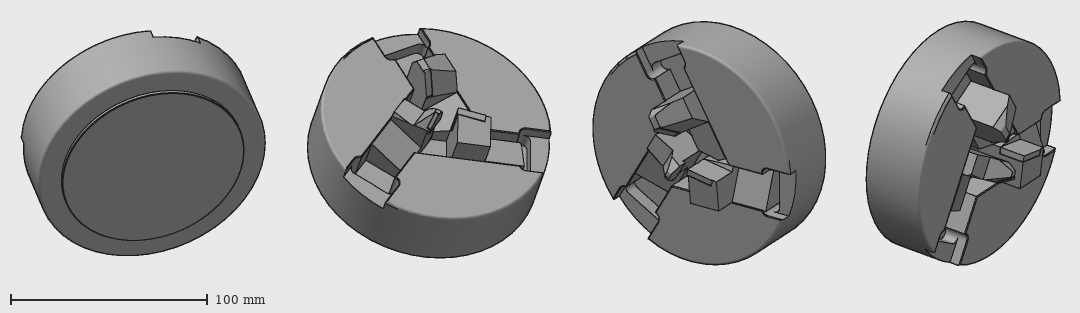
import cadquery as cq
import math


SEAT_STEP = 120
FIRST_SEAT, SECOND_SEAT, THIRD_SEAT = range(3)

BODY_RADIUS = 60
BODY_LENGTH = 34.9
RIM_FILLET = 1.5
FLANGE_RADIUS = 48
FLANGE_LENGTH = 2.0
FLANGE_CHAMFER = 0.4

SEAT_WIDTH = 20.0
SEAT_DEPTH = 14.0
RELIEF_INNER_R = 43.3
RELIEF_OUTER_R = 50.2
RELIEF_TOP_T = 4.0
RELIEF_BOTTOM_T = -22.3
STEP_DEPTH = 6
EDGE_CHAMFER = 0.5

GULLET_SLOPE = math.tan(math.radians(20))
CLEARANCE = math.radians(7)
FLANK_ANGLE = math.radians(60)
FLANK_SLOPE = math.tan(FLANK_ANGLE)
INSERT_LIP = 1.2
INSERT_FILLET = 0.5
INSERT_STANDOFF = 0.6
CUTTER_SIZE = 72

OUTER_START_R = 8.0
OUTER_BLOCK_END_R = 25.2
OUTER_END_R = 45.6
OUTER_NOSE_X = -15.0
RAKE_ANGLE = math.radians(10)
OUTER_INSERT_X = -15.2
OUTER_INSERT_WIDTH = 14.8
OUTER_INSERT_THICKNESS = 3.6
GASH_HEIGHT = 12
GASH_TOP_X = -24

MIDDLE_START_R = -7.7
MIDDLE_BLOCK_START_R = 13.2
MIDDLE_END_R = 30.7
MIDDLE_NOSE_X = -17.4
MIDDLE_NOSE_WIDTH = 4.1
MIDDLE_BACK_SLOPE = math.tan(math.radians(24))
MIDDLE_INSERT_X = -18
MIDDLE_INSERT_R = 20.2
MIDDLE_INSERT_END_R = 12.6
MIDDLE_SHOULDER_X = -13.0
MIDDLE_NOSE_FILLET = 1.5

INNER_START_R = 1.2
INNER_BLOCK_END_R = 13.1
INNER_END_R = 32.9
INNER_SHOULDER_X = -5.2
INNER_SHOULDER_T = -7.8
INNER_NOSE_X = -16.5
INNER_CORNER_R = 4.3
INNER_INSERT_X = -17.2
INNER_INSERT_R = 8.4
INNER_INSERT_THICKNESS = 2.2
INNER_NOSE_FILLET = 1.2
OVERHANG_T = 1.5
OVERHANG_X = -6


def at_seat(shape, index):
    """Turn a shape made for the first seat to the seat with this index."""
    return shape.rotate((0, 0, 0), (-1, 0, 0), index * SEAT_STEP)


def seat_block(start_r, end_r, bottom_t, top_t, depth):
    """Box in the first seat from the front face down to a depth."""
    size_r = end_r - start_r
    return cq.Workplane("XY").box(depth, size_r, top_t - bottom_t, centered=False).translate(
        (0, -end_r, bottom_t)
    )


def prism(points, start_r, end_r):
    """Extrude an outline of (x, t) points along r."""
    return cq.Workplane("XZ", origin=(0, -start_r, 0)).polyline(points).close().extrude(end_r - start_r)


def trim(solid, point, normal):
    """Remove what lies beyond a plane; point and normal are (x, r, t)."""
    x, r, t = point
    normal_x, normal_r, normal_t = normal
    plane = cq.Plane(origin=(x, -r, t), normal=(normal_x, -normal_r, normal_t))
    return solid.cut(cq.Workplane(plane).rect(CUTTER_SIZE, CUTTER_SIZE).extrude(CUTTER_SIZE))


def flank_normal(direction, clearance):
    """Outward normal of a side flank; direction is 1 outwards or -1 inwards along r."""
    return (
        -math.cos(clearance) * math.cos(FLANK_ANGLE),
        direction * math.cos(clearance) * math.sin(FLANK_ANGLE),
        -math.sin(clearance),
    )


def gullet_bar(start_r, end_r):
    """Cartridge shank with the sloping chip gullet on its front."""
    outline = [
        (SEAT_DEPTH, -SEAT_WIDTH),
        (0, -SEAT_WIDTH),
        (SEAT_WIDTH * GULLET_SLOPE, 0),
        (SEAT_DEPTH, 0),
    ]
    return prism(outline, start_r, end_r)


def chamfer_cutter(length_r, length_t, center_r, center_t, rounded):
    """Tapered cutter that breaks the front edge of a pocket at 45 degrees."""
    size_r = length_r + 2 * EDGE_CHAMFER
    size_t = length_t + 2 * EDGE_CHAMFER
    sketch = cq.Workplane("YZ", origin=(0, -center_r, center_t))
    sketch = sketch.slot2D(size_t, size_r, 90) if rounded else sketch.rect(size_r, size_t)
    return sketch.extrude(EDGE_CHAMFER, taper=45)


def make_seat():
    """Everything removed from the body for one seat, with its front edges broken."""
    inner_r = -SEAT_WIDTH / math.tan(math.radians(180 - SEAT_STEP))
    relief_width = RELIEF_OUTER_R - RELIEF_INNER_R
    relief_length = RELIEF_TOP_T - RELIEF_BOTTOM_T
    relief_r = (RELIEF_INNER_R + RELIEF_OUTER_R) / 2
    relief_t = (RELIEF_TOP_T + RELIEF_BOTTOM_T) / 2
    step_end_r = BODY_RADIUS + RIM_FILLET
    channel = seat_block(inner_r, relief_r, -SEAT_WIDTH, 0, SEAT_DEPTH)
    step = seat_block(relief_r, step_end_r, RELIEF_BOTTOM_T, RELIEF_TOP_T, STEP_DEPTH)
    relief = (
        cq.Workplane("YZ", origin=(0, -relief_r, relief_t))
        .slot2D(relief_length, relief_width, 90)
        .extrude(SEAT_DEPTH)
    )
    channel_chamfer = chamfer_cutter(
        relief_r - inner_r, SEAT_WIDTH, (inner_r + relief_r) / 2, -SEAT_WIDTH / 2, False
    )
    step_chamfer = chamfer_cutter(
        step_end_r - relief_r, relief_length, (relief_r + step_end_r) / 2, relief_t, False
    )
    relief_chamfer = chamfer_cutter(relief_width, relief_length, relief_r, relief_t, True)
    return [channel, step, relief, channel_chamfer, step_chamfer, relief_chamfer]


def make_body():
    disc = cq.Workplane("YZ").circle(BODY_RADIUS).extrude(BODY_LENGTH).edges().fillet(RIM_FILLET)
    flange = (
        cq.Workplane("YZ", origin=(BODY_LENGTH, 0, 0))
        .circle(FLANGE_RADIUS)
        .extrude(FLANGE_LENGTH)
        .faces(">X")
        .edges()
        .chamfer(FLANGE_CHAMFER)
    )
    body = disc.union(flange)
    for index in (FIRST_SEAT, SECOND_SEAT, THIRD_SEAT):
        for cutter in make_seat():
            body = body.cut(at_seat(cutter, index))
    return body


def rake_prism(points, length):
    """Extrude (x, height above the rake face) points along the outer cartridge's cutting edge."""
    plane = cq.Plane(
        origin=(0, -OUTER_START_R, 0),
        xDir=(1, 0, 0),
        normal=(0, -math.cos(RAKE_ANGLE), -math.sin(RAKE_ANGLE)),
    )
    return cq.Workplane(plane).polyline(points).close().extrude(length)


def flank_insert(direction, tip, end_r, bottom_t, top_t):
    """Cutting insert lying on a side flank, from its tip (x, r) along the flank to end_r."""
    tip_x, tip_r = tip
    end_x = tip_x + abs(end_r - tip_r) * FLANK_SLOPE
    lip = -direction * INSERT_LIP
    points = [(tip_x, tip_r), (end_x, end_r), (end_x, end_r + lip), (tip_x, tip_r + lip)]
    insert = (
        cq.Workplane("XY", origin=(0, 0, bottom_t))
        .polyline([(x, -r) for x, r in points])
        .close()
        .extrude(top_t - bottom_t)
    )
    insert = trim(insert, (tip_x, tip_r, top_t), flank_normal(direction, CLEARANCE))
    tip_edge = "<Y" if direction > 0 else ">Y"
    return insert.faces("<X").edges(tip_edge).fillet(INSERT_FILLET)


def make_outer_cartridge():
    front_slope = math.tan(CLEARANCE)
    block_outline = [
        (SEAT_DEPTH, -SEAT_WIDTH),
        (OUTER_NOSE_X + SEAT_WIDTH * front_slope, -SEAT_WIDTH),
        (OUTER_NOSE_X, 0),
        (SEAT_DEPTH, 0),
    ]
    gash_outline = [
        (0, 0),
        (GASH_TOP_X, 0),
        (GASH_TOP_X, GASH_HEIGHT),
        (GASH_HEIGHT * GULLET_SLOPE, GASH_HEIGHT),
    ]
    insert_outline = [
        (0, 0),
        (OUTER_INSERT_X, 0),
        (OUTER_INSERT_X + OUTER_INSERT_THICKNESS * front_slope, -OUTER_INSERT_THICKNESS),
        (0, -OUTER_INSERT_THICKNESS),
    ]
    cartridge = gullet_bar(OUTER_START_R, OUTER_END_R)
    cartridge = cartridge.union(prism(block_outline, OUTER_START_R, OUTER_BLOCK_END_R))
    cartridge = cartridge.cut(rake_prism(gash_outline, OUTER_END_R))
    insert = rake_prism(insert_outline, OUTER_INSERT_WIDTH).faces("<Y").edges("<X").fillet(INSERT_FILLET)
    return cartridge.union(insert)


def make_middle_cartridge():
    back_fall = (SEAT_WIDTH - MIDDLE_NOSE_WIDTH) * MIDDLE_BACK_SLOPE
    block_outline = [
        (SEAT_DEPTH, -SEAT_WIDTH),
        (MIDDLE_NOSE_X + back_fall, -SEAT_WIDTH),
        (MIDDLE_NOSE_X, -MIDDLE_NOSE_WIDTH),
        (MIDDLE_NOSE_X, 0),
        (SEAT_DEPTH, 0),
    ]
    block = prism(block_outline, MIDDLE_BLOCK_START_R, MIDDLE_END_R)
    block = trim(block, (MIDDLE_SHOULDER_X, MIDDLE_END_R, 0), flank_normal(1, 0))
    flank_point = (MIDDLE_INSERT_X, MIDDLE_INSERT_R + INSERT_STANDOFF, 0)
    block = trim(block, flank_point, flank_normal(-1, CLEARANCE))
    block = block.faces("<X").edges("not |Y").fillet(MIDDLE_NOSE_FILLET)
    insert_tip = (MIDDLE_INSERT_X, MIDDLE_INSERT_R)
    block = block.union(flank_insert(-1, insert_tip, MIDDLE_INSERT_END_R, -MIDDLE_NOSE_WIDTH, 0))
    cartridge = block.union(gullet_bar(MIDDLE_START_R, MIDDLE_BLOCK_START_R))
    step = math.radians(SEAT_STEP)
    return trim(cartridge, (0, 0, 0), (0, -math.sin(step), -math.cos(step)))


def make_inner_cartridge():
    ridge_t = INNER_SHOULDER_T + (INNER_SHOULDER_X - INNER_NOSE_X) / FLANK_SLOPE
    block_outline = [
        (SEAT_DEPTH, -SEAT_WIDTH),
        (INNER_SHOULDER_X, -SEAT_WIDTH),
        (INNER_SHOULDER_X, INNER_SHOULDER_T),
        (INNER_NOSE_X, ridge_t),
        (INNER_NOSE_X, OVERHANG_T),
        (OVERHANG_X, OVERHANG_T),
        (OVERHANG_X, 0),
        (SEAT_DEPTH, 0),
    ]
    block = prism(block_outline, INNER_START_R, INNER_BLOCK_END_R)
    block = trim(block, (INNER_NOSE_X, INNER_CORNER_R, OVERHANG_T), flank_normal(-1, CLEARANCE))
    flank_point = (INNER_INSERT_X, INNER_INSERT_R - INSERT_STANDOFF, OVERHANG_T)
    block = trim(block, flank_point, flank_normal(1, CLEARANCE))
    block = block.faces("<X").edges("not |Y").fillet(INNER_NOSE_FILLET)
    insert_bottom_t = OVERHANG_T - INNER_INSERT_THICKNESS
    insert_tip = (INNER_INSERT_X, INNER_INSERT_R)
    block = block.union(flank_insert(1, insert_tip, INNER_BLOCK_END_R, insert_bottom_t, OVERHANG_T))
    return block.union(gullet_bar(INNER_BLOCK_END_R, INNER_END_R))


body = make_body()
outer_cartridge = at_seat(make_outer_cartridge(), FIRST_SEAT)
middle_cartridge = at_seat(make_middle_cartridge(), SECOND_SEAT)
inner_cartridge = at_seat(make_inner_cartridge(), THIRD_SEAT)

bodies = [body, outer_cartridge, middle_cartridge, inner_cartridge]
result = cq.Compound.makeCompound([item.solids().val() for item in bodies])